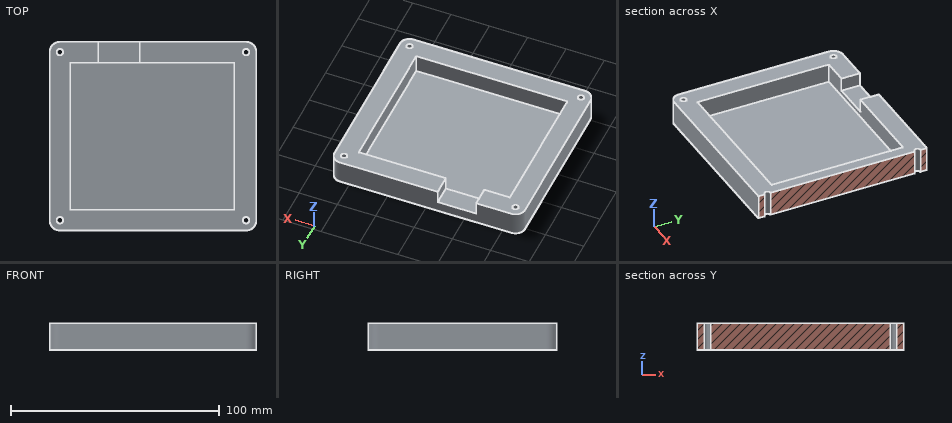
import cadquery as cq

LENGTH = 99.42
WIDTH = 90.75
HEIGHT = 13.0
CORNER_RADIUS = 5.0

HOLE_DIAMETER = 3.0
HOLE_INSET = CORNER_RADIUS

WALL = 10.0
RIGHT_WALL = 10.6
FLOOR = 3.0
POCKET_LENGTH = LENGTH - WALL - RIGHT_WALL
POCKET_WIDTH = WIDTH - 2 * WALL
POCKET_CENTRE_X = (WALL - RIGHT_WALL) / 2

NOTCH_WIDTH = 20.0
NOTCH_DEPTH = 7.0
NOTCH_CENTRE_X = -16.3


def make_block():
    """Solid block standing on Z = 0 with rounded upright corners."""
    block = cq.Workplane("XY").box(LENGTH, WIDTH, HEIGHT, centered=(True, True, False))
    return block.edges("|Z").fillet(CORNER_RADIUS)


def make_pocket():
    """Cutter for the rectangular pocket above the floor."""
    return (
        cq.Workplane("XY")
        .workplane(offset=FLOOR)
        .center(POCKET_CENTRE_X, 0)
        .rect(POCKET_LENGTH, POCKET_WIDTH)
        .extrude(HEIGHT - FLOOR)
    )


def make_notch():
    """Cutter for the notch, open at the top and at both faces of the +Y wall."""
    wall_centre_y = (WIDTH - WALL) / 2
    return (
        cq.Workplane("XY")
        .workplane(offset=HEIGHT - NOTCH_DEPTH)
        .center(NOTCH_CENTRE_X, wall_centre_y)
        .rect(NOTCH_WIDTH, WALL)
        .extrude(NOTCH_DEPTH)
    )


def make_holes():
    """Cutter for the four screw holes, running the full height."""
    return (
        cq.Workplane("XY")
        .rect(LENGTH - 2 * HOLE_INSET, WIDTH - 2 * HOLE_INSET, forConstruction=True)
        .vertices()
        .circle(HOLE_DIAMETER / 2)
        .extrude(HEIGHT)
    )


result = make_block().cut(make_pocket()).cut(make_notch()).cut(make_holes())